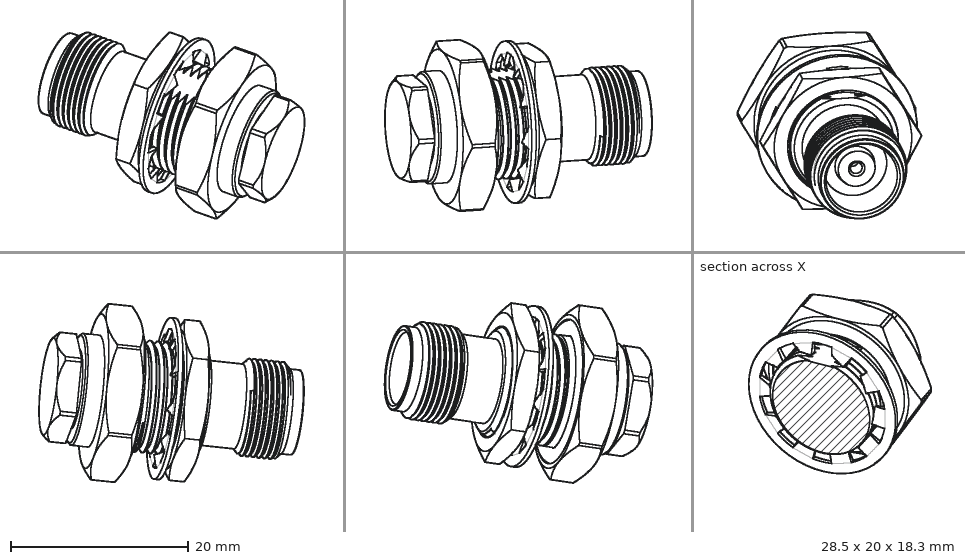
import cadquery as cq
import math


MATING_THREAD_START = 1.26
MATING_THREAD_END = 6.62
PANEL_THREAD_START = 10.83
PANEL_THREAD_END = 18.22
HEX_START = 19.16
HEX_END = 23.27
FLANGE_END = 25.40
CLAMP_START = 25.90
TOTAL_LENGTH = 28.45

BARREL_DIA = 9.65
RIM_CHAMFER = 0.09
PANEL_DIA = 12.70
PANEL_LEAD_CHAMFER = 0.63
KEY_FLAT_HEIGHT = 5.63
FLANGE_CHAMFER = 0.23
NECK_DIA = 9.0

MATING_THREAD_DIA = 11.1
MATING_PITCH = 0.658
MATING_GROOVE_DEPTH = 0.36
MATING_GROOVE_START = 1.45
MATING_GROOVE_END = 6.2
PANEL_PITCH = 0.907
PANEL_GROOVE_DEPTH = 0.55
PANEL_GROOVE_START = 11.17
PANEL_GROOVE_END = 18.50
CREST_FLAT = 0.08
ROOT_FLAT = 0.06
GROOVE_OVERCUT = 0.03

HEX_FLATS = 17.5
HEX_CORNER_DIA = 19.98
HEX_CHAMFER_ANGLE = 30
CLAMP_FLATS = 11.0
CLAMP_CORNER_DIA = 12.42
CLAMP_CHAMFER_ANGLE = 45

BORE_MOUTH_DIA = 8.70
BORE_DIA = 8.20
BORE_CHAMFER = 0.35
BORE_BOTTOM_DIA = 7.32
BORE_DEPTH = 4.40
DIELECTRIC_DIA = 4.57
DIELECTRIC_TIP_DIA = 4.24
DIELECTRIC_HEIGHT = 1.10
SOCKET_MOUTH_DIA = 1.85
SOCKET_DIA = 1.35
SOCKET_CHAMFER = 0.25
SOCKET_DEPTH = 2.5

NUT_START = 11.48
NUT_END = 14.11
NUT_FLATS = 15.8
NUT_CHAMFER_ANGLE = 20
NUT_LIP_DIA = 12.71
NUT_LIP_HEIGHT = 0.07

WASHER_DIA = 18.34
WASHER_INNER_DIA = 15.80
WASHER_CENTER = 15.09
WASHER_THICKNESS = 0.52
TOOTH_COUNT = 10
TOOTH_TIP_RADIUS = 6.40
TOOTH_TIP_WIDTH = 2.1
TOOTH_ROOT_WIDTH = 2.6
TOOTH_TWIST = -24

SEAL_FRONT = 18.73
SEAL_OUTER_DIA = 16.47
SEAL_RADIUS = (SEAL_OUTER_DIA - PANEL_DIA) / 4
SEAL_CENTER_X = SEAL_FRONT + SEAL_RADIUS
SEAL_CENTER_RADIUS = PANEL_DIA / 2 + SEAL_RADIUS

AXIS_START = (0, 0, 0)
AXIS_END = (1, 0, 0)


def revolve_profile(points):
    """Turn (x, radius) points around the X axis."""
    return cq.Workplane("XY").polyline(points).close().revolve(360, AXIS_START, AXIS_END)


def cylinder(start, end, diameter):
    return cq.Workplane("YZ", origin=(start, 0, 0)).circle(diameter / 2).extrude(end - start)


def hexagon(start, end, across_flats):
    """Hexagonal bar with two flats facing up and down and corners on the Y axis."""
    across_corners = across_flats / math.cos(math.radians(30))
    return cq.Workplane("YZ", origin=(start, 0, 0)).polygon(6, across_corners).extrude(end - start)


def chamfered_hexagon(start, end, across_flats, corner_dia, angle, both_ends):
    """Hexagonal bar turned down to corner_dia, its corners chamfered from the flats' inscribed circle."""
    corner = corner_dia / 2
    face = across_flats / 2
    length = (corner - face) * math.tan(math.radians(angle))
    points = [(start, 0)]
    if both_ends:
        points += [(start, face), (start + length, corner)]
    else:
        points += [(start, corner)]
    points += [(end - length, corner), (end, face), (end, 0)]
    return hexagon(start, end, across_flats).intersect(revolve_profile(points))


def thread_groove(start, end, diameter, pitch, depth):
    """Right-hand V groove around the X axis, starting below the axis."""
    crest = diameter / 2
    root = crest - depth
    half_root = ROOT_FLAT / 2
    half_mouth = (pitch - CREST_FLAT) / 2
    slope = (half_mouth - half_root) / depth
    outside = crest + GROOVE_OVERCUT
    half_outside = half_mouth + slope * GROOVE_OVERCUT
    profile = [
        (root, -half_root),
        (outside, -half_outside),
        (outside, half_outside),
        (root, half_root),
    ]
    path = cq.Workplane(cq.Wire.makeHelix(pitch, end - start, crest))
    groove = cq.Workplane("XZ").polyline(profile).close().sweep(path, isFrenet=True)
    return groove.rotate((0, 0, 0), (0, 1, 0), 90).translate((start, 0, 0))


def threaded_rod(start, end, diameter, pitch, depth):
    """Rod whose thread runs from start to end, with plain material left beyond both ends."""
    groove = thread_groove(start, end, diameter, pitch, depth)
    return cylinder(start - pitch, end + pitch, diameter).cut(groove)


def panel_thread():
    """Threaded rod on which the mounting nut runs."""
    return threaded_rod(PANEL_GROOVE_START, PANEL_GROOVE_END, PANEL_DIA, PANEL_PITCH, PANEL_GROOVE_DEPTH)


def mating_barrel():
    thread = threaded_rod(
        MATING_GROOVE_START, MATING_GROOVE_END, MATING_THREAD_DIA, MATING_PITCH, MATING_GROOVE_DEPTH
    )
    half_length = (MATING_THREAD_END - MATING_THREAD_START) / 2
    chamfers = revolve_profile(
        [
            (MATING_THREAD_START, 0),
            (MATING_THREAD_START, BARREL_DIA / 2),
            (MATING_THREAD_START + half_length, BARREL_DIA / 2 + half_length),
            (MATING_THREAD_END, BARREL_DIA / 2),
            (MATING_THREAD_END, 0),
        ]
    )
    tip = cylinder(0, MATING_THREAD_START, BARREL_DIA).faces("<X").chamfer(RIM_CHAMFER)
    barrel = cylinder(MATING_THREAD_END, PANEL_THREAD_START, BARREL_DIA)
    return thread.intersect(chamfers).union(tip).union(barrel)


def panel_section():
    """Threaded length and plain collar, with a lead chamfer and a flat along the top."""
    length = PANEL_THREAD_END - PANEL_THREAD_START
    lead_radius = PANEL_DIA / 2 - PANEL_LEAD_CHAMFER
    lead_chamfer = revolve_profile(
        [
            (PANEL_THREAD_START, 0),
            (PANEL_THREAD_START, lead_radius),
            (PANEL_THREAD_END, lead_radius + length),
            (PANEL_THREAD_END, 0),
        ]
    )
    section = panel_thread().intersect(lead_chamfer)
    section = section.union(cylinder(PANEL_THREAD_END, HEX_START, PANEL_DIA))
    above_flat = cq.Workplane("XY", origin=(PANEL_THREAD_START, 0, KEY_FLAT_HEIGHT)).box(
        HEX_START - PANEL_THREAD_START, PANEL_DIA, PANEL_DIA, centered=(False, True, False)
    )
    return section.cut(above_flat)


def mating_bore():
    """Tapered bore, leaving the dielectric standing at the bottom with the socket drilled into it."""
    tip = BORE_DEPTH - DIELECTRIC_HEIGHT
    return revolve_profile(
        [
            (0, 0),
            (0, BORE_MOUTH_DIA / 2),
            (BORE_CHAMFER, BORE_DIA / 2),
            (BORE_DEPTH, BORE_BOTTOM_DIA / 2),
            (BORE_DEPTH, DIELECTRIC_DIA / 2),
            (tip, DIELECTRIC_TIP_DIA / 2),
            (tip, SOCKET_MOUTH_DIA / 2),
            (tip + SOCKET_CHAMFER, SOCKET_DIA / 2),
            (tip + SOCKET_DEPTH, SOCKET_DIA / 2),
            (tip + SOCKET_DEPTH, 0),
        ]
    )


def seal_groove():
    """Square-cornered groove that holds the sealing ring on its bottom and both walls."""
    bottom = SEAL_CENTER_X + SEAL_RADIUS
    return cylinder(HEX_START, bottom, SEAL_OUTER_DIA).cut(cylinder(HEX_START, bottom, PANEL_DIA))


def make_housing():
    large_hex = chamfered_hexagon(HEX_START, HEX_END, HEX_FLATS, HEX_CORNER_DIA, HEX_CHAMFER_ANGLE, True)
    flange = cylinder(HEX_END, FLANGE_END, PANEL_DIA).faces(">X").chamfer(FLANGE_CHAMFER)
    neck = cylinder(FLANGE_END, CLAMP_START, NECK_DIA)
    clamp_hex = chamfered_hexagon(
        CLAMP_START, TOTAL_LENGTH, CLAMP_FLATS, CLAMP_CORNER_DIA, CLAMP_CHAMFER_ANGLE, False
    )
    housing = mating_barrel().cut(mating_bore())
    for section in (panel_section(), large_hex.cut(seal_groove()), flange, neck, clamp_hex):
        housing = housing.union(section)
    return housing


def make_nut():
    across_corners = NUT_FLATS / math.cos(math.radians(30))
    blank = chamfered_hexagon(NUT_START, NUT_END, NUT_FLATS, across_corners, NUT_CHAMFER_ANGLE, True)
    lip_start = NUT_START - NUT_LIP_HEIGHT
    lip_end = NUT_END + NUT_LIP_HEIGHT
    blank = blank.union(cylinder(lip_start, lip_end, NUT_LIP_DIA))
    lip = NUT_LIP_DIA / 2
    lead_in = revolve_profile(
        [
            (lip_start, 0),
            (lip_start, lip),
            (lip_start + lip, 0),
        ]
    )
    lead_out = lead_in.mirror("YZ").translate((lip_start + lip_end, 0, 0))
    return blank.cut(panel_thread()).cut(lead_in).cut(lead_out)


def washer_tooth():
    """Tooth pointing inward from the top of the ring, twisted about its own centre line."""
    root_radius = math.sqrt((WASHER_INNER_DIA / 2) ** 2 - (TOOTH_ROOT_WIDTH / 2) ** 2)
    root_plane = cq.Workplane("XY", origin=(WASHER_CENTER, 0, root_radius))
    embedded = root_plane.rect(WASHER_THICKNESS, TOOTH_ROOT_WIDTH).extrude((WASHER_DIA / 2 - root_radius) / 2)
    twisted = (
        root_plane.rect(WASHER_THICKNESS, TOOTH_ROOT_WIDTH)
        .workplane(offset=TOOTH_TIP_RADIUS - root_radius)
        .transformed(rotate=(0, 0, TOOTH_TWIST))
        .rect(WASHER_THICKNESS, TOOTH_TIP_WIDTH)
        .loft(ruled=True)
    )
    return embedded.union(twisted)


def make_washer():
    start = WASHER_CENTER - WASHER_THICKNESS / 2
    end = start + WASHER_THICKNESS
    washer = cylinder(start, end, WASHER_DIA).cut(cylinder(start, end, WASHER_INNER_DIA))
    spacing = 360 / TOOTH_COUNT
    for index in range(TOOTH_COUNT):
        washer = washer.union(washer_tooth().rotate(AXIS_START, AXIS_END, (index + 0.5) * spacing))
    return washer


def make_seal():
    section = cq.Workplane("XY").center(SEAL_CENTER_X, SEAL_CENTER_RADIUS).circle(SEAL_RADIUS)
    return section.revolve(360, (-SEAL_CENTER_X, -SEAL_CENTER_RADIUS), (1 - SEAL_CENTER_X, -SEAL_CENTER_RADIUS))


housing = make_housing()
nut = make_nut()
washer = make_washer()
seal = make_seal()

result = cq.Compound.makeCompound([housing.val(), nut.val(), washer.val(), seal.val()])